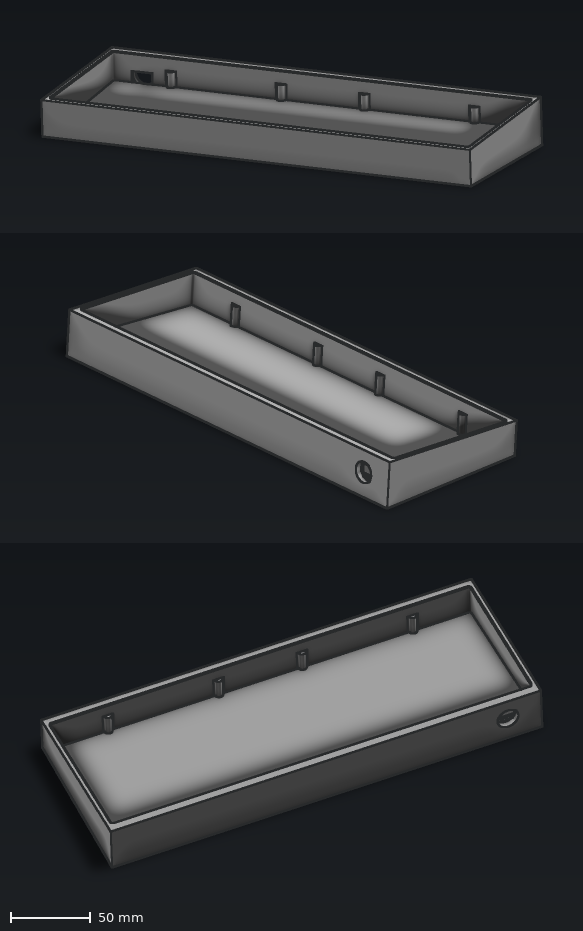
import cadquery as cq
import math

length = 294.2
depth = 111.2
height = 31.8
tilt = 4.0

side_wall = 3.5
front_wall = 5.5
back_wall = 6.8
corner_radius = 1.5
rim_chamfer = 0.5
floor_tilt = 6.0
floor_middle_z = 7.0

cable_hole_diameter = 14.0
cable_hole_x = -124.2
cable_hole_z = 16.8

pocket_depth = 2.0
pocket_bottom_z = 10.5
pocket_top_z = 19.5

post_x_positions = [-104.0, -28.5, 28.5, 104.0]
post_radius = 2.6
post_flare = 1.2
post_top_drop = 8.8

sin_tilt = math.sin(math.radians(tilt))
cos_tilt = math.cos(math.radians(tilt))
tan_tilt = math.tan(math.radians(tilt))

back_bottom_y = depth / 2
back_top_y = back_bottom_y - height * tan_tilt
front_top_y = -depth / 2
front_top_z = height - (back_top_y - front_top_y) * tan_tilt
front_bottom_y = front_top_y + front_top_z * tan_tilt
rim_depth = (back_top_y - front_top_y) / cos_tilt

rim_plane = cq.Plane(
    origin=(0, front_top_y, front_top_z), xDir=(1, 0, 0), normal=(0, -sin_tilt, cos_tilt)
)

cavity_length = length - 2 * side_wall
cavity_front = front_wall
cavity_back = rim_depth - back_wall
cavity_depth = cavity_back - cavity_front
cavity_middle = (cavity_front + cavity_back) / 2


def above_floor(body):
    """Keep the part of a tilted body that lies above the sloping floor."""
    floor_angle = math.radians(floor_tilt)
    floor_plane = cq.Plane(
        origin=(0, 0, floor_middle_z),
        xDir=(1, 0, 0),
        normal=(0, -math.sin(floor_angle), math.cos(floor_angle)),
    )
    space = cq.Workplane(floor_plane).rect(2 * length, 2 * depth).extrude(2 * height)
    return body.intersect(space)


def make_cavity():
    sketch = cq.Sketch().rect(cavity_length, cavity_depth).vertices().fillet(corner_radius)
    prism = cq.Workplane(rim_plane).center(0, cavity_middle).placeSketch(sketch).extrude(-height)
    return above_floor(prism)


def make_rim_chamfer():
    wide_sketch = (
        cq.Sketch()
        .rect(cavity_length + 2 * rim_chamfer, cavity_depth + 2 * rim_chamfer)
        .vertices()
        .fillet(corner_radius + rim_chamfer)
    )
    return (
        cq.Workplane(rim_plane)
        .center(0, cavity_middle)
        .placeSketch(wide_sketch)
        .extrude(-rim_chamfer, taper=45)
    )


def make_cable_hole():
    """Round hole square to the back wall, running from the outside to the pocket."""
    hole_y = back_bottom_y - cable_hole_z * tan_tilt
    hole_plane = cq.Plane(
        origin=(cable_hole_x, hole_y, cable_hole_z), xDir=(1, 0, 0), normal=(0, cos_tilt, sin_tilt)
    )
    return cq.Workplane(hole_plane).circle(cable_hole_diameter / 2).extrude(pocket_depth - back_wall)


def make_cable_pocket():
    """Pocket as wide as the cable hole, sunk into the inner face of the back wall."""
    pocket_height = pocket_top_z - pocket_bottom_z
    middle_z = (pocket_top_z + pocket_bottom_z) / 2
    inner_face_y = back_bottom_y - middle_z * tan_tilt - back_wall / cos_tilt
    pocket_plane = cq.Plane(
        origin=(cable_hole_x, inner_face_y, middle_z), xDir=(1, 0, 0), normal=(0, cos_tilt, sin_tilt)
    )
    return cq.Workplane(pocket_plane).rect(cable_hole_diameter, pocket_height).extrude(pocket_depth)


def make_housing():
    shell = (
        cq.Workplane("YZ")
        .moveTo(front_bottom_y, 0)
        .lineTo(back_bottom_y, 0)
        .lineTo(back_top_y, height)
        .lineTo(front_top_y, front_top_z)
        .close()
        .extrude(length / 2, both=True)
    )
    shell = shell.cut(make_cavity()).cut(make_rim_chamfer())
    return shell.cut(make_cable_hole()).cut(make_cable_pocket())


def make_post(x, wall_y, inward):
    """Round-nosed post with flared sides; inward is +1 or -1 along local Y."""
    half_foot = math.sqrt((post_radius + post_flare) ** 2 - post_flare**2)
    nose_share = post_radius / (post_radius + post_flare)
    nose_x = half_foot * nose_share
    nose_y = post_flare * nose_share
    flare_angle = (math.atan2(post_flare, half_foot) + math.pi / 2) / 2
    flare_x = half_foot - post_flare * math.cos(flare_angle)
    flare_y = post_flare - post_flare * math.sin(flare_angle)

    def at(dx, dy):
        return (x + dx, wall_y + inward * dy)

    post = (
        cq.Workplane(rim_plane)
        .workplane(offset=-post_top_drop)
        .moveTo(*at(-half_foot, 0))
        .threePointArc(at(-flare_x, flare_y), at(-nose_x, nose_y))
        .threePointArc(at(0, post_radius), at(nose_x, nose_y))
        .threePointArc(at(flare_x, flare_y), at(half_foot, 0))
        .close()
        .extrude(-height)
    )
    return above_floor(post)


housing = make_housing()
posts = []
for post_x in post_x_positions:
    posts.append(make_post(post_x, cavity_front, 1))
    posts.append(make_post(post_x, cavity_back, -1))

result = cq.Compound.makeCompound([housing.val(), *[post.val() for post in posts]])